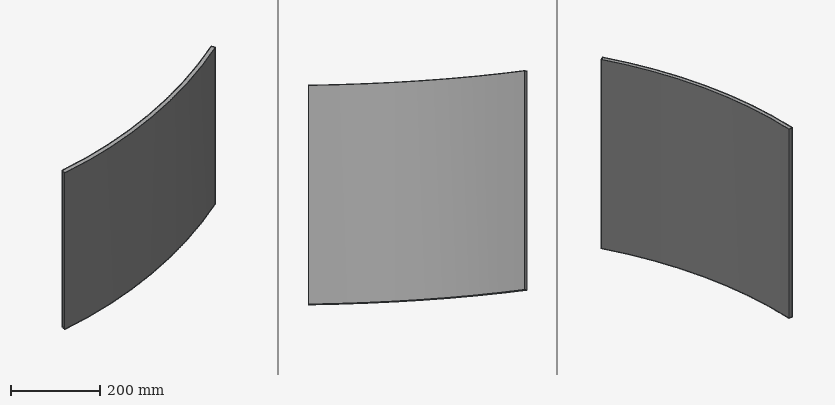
import cadquery as cq
import math

outer_radius = 1005.0
thickness = 10.0
height = 500.0
sweep_angle = 30.0

inner_radius = outer_radius - thickness


def point_on_arc(radius, angle):
    """Point at an angle in degrees from +X, about the cylinder axis."""
    radians = math.radians(angle)
    return (radius * math.cos(radians), radius * math.sin(radians))


section = (
    cq.Workplane("XY")
    .moveTo(inner_radius, 0)
    .lineTo(outer_radius, 0)
    .threePointArc(
        point_on_arc(outer_radius, sweep_angle / 2),
        point_on_arc(outer_radius, sweep_angle),
    )
    .lineTo(*point_on_arc(inner_radius, sweep_angle))
    .threePointArc(
        point_on_arc(inner_radius, sweep_angle / 2),
        (inner_radius, 0),
    )
    .close()
)

result = section.extrude(height)